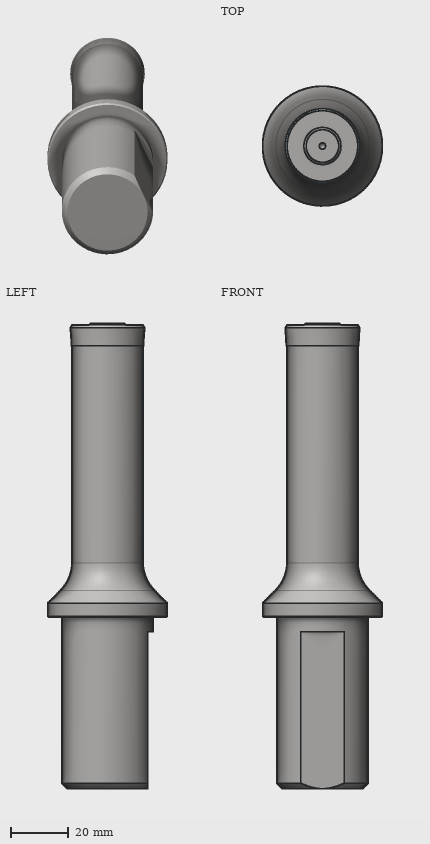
import cadquery as cq
import math

total_length = 163.0

shank_radius = 32.0 / 2
shank_length = 60.0
shank_tip_chamfer = 2.0
flat_distance = 14.1
flat_top = shank_length - 5.0

flange_radius = 42.0 / 2
flange_edge_chamfer = 0.5
flange_top = shank_length + 5.0
neck_radius = 25.0 / 2
neck_blend_radius = 13.5
neck_blend_angle = math.radians(45)

head_base = 155.0
head_base_radius = 12.7
head_radius = 13.05
head_rim = 162.4
head_rim_chamfer_height = 1.0
head_rim_chamfer_inset = 0.7

boss_base_radius = 6.5
boss_top_radius = 5.7
dimple_radius = 2.2 / 2
dimple_depth = 0.6


def make_holder():
    """Revolved shank, flange and neck, with one clamping flat on the -Y side."""
    blend_radius_gain = neck_blend_radius * (1 - math.cos(neck_blend_angle))
    blend_end_radius = neck_radius + blend_radius_gain
    blend_start = flange_top + (flange_radius - blend_end_radius)
    blend_end = blend_start + neck_blend_radius * math.sin(neck_blend_angle)
    half_angle = neck_blend_angle / 2
    blend_middle = (
        neck_radius + neck_blend_radius * (1 - math.cos(half_angle)),
        blend_end - neck_blend_radius * math.sin(half_angle),
    )
    body = (
        cq.Workplane("XZ")
        .moveTo(0, 0)
        .lineTo(shank_radius - shank_tip_chamfer, 0)
        .lineTo(shank_radius, shank_tip_chamfer)
        .lineTo(shank_radius, shank_length)
        .lineTo(flange_radius - flange_edge_chamfer, shank_length)
        .lineTo(flange_radius, shank_length + flange_edge_chamfer)
        .lineTo(flange_radius, flange_top)
        .lineTo(blend_end_radius, blend_start)
        .threePointArc(blend_middle, (neck_radius, blend_end))
        .lineTo(neck_radius, head_base)
        .lineTo(0, head_base)
        .close()
        .revolve(360, (0, 0, 0), (0, 1, 0))
    )
    flat_cutter = (
        cq.Workplane("XY")
        .box(2 * shank_radius, shank_radius, flat_top, centered=(True, False, False))
        .translate((0, -flat_distance - shank_radius, 0))
    )
    return body.cut(flat_cutter)


def make_head():
    """Revolved cutting head ending in a conical boss and a small conical dimple."""
    return (
        cq.Workplane("XZ")
        .moveTo(0, head_base)
        .lineTo(head_base_radius, head_base)
        .lineTo(head_radius, head_rim - head_rim_chamfer_height)
        .lineTo(head_radius - head_rim_chamfer_inset, head_rim)
        .lineTo(boss_base_radius, head_rim)
        .lineTo(boss_top_radius, total_length)
        .lineTo(dimple_radius, total_length)
        .lineTo(0, total_length - dimple_depth)
        .close()
        .revolve(360, (0, 0, 0), (0, 1, 0))
    )


holder = make_holder()
head = make_head()
result = cq.Compound.makeCompound([holder.val(), head.val()])